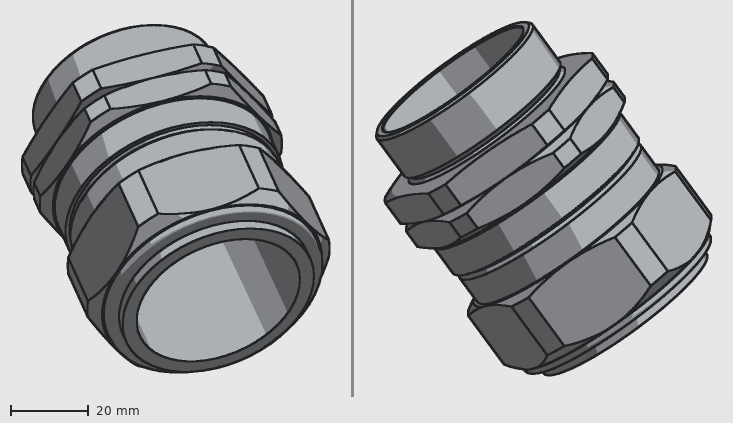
import cadquery as cq
import math

total_length = 76.4
bore_radius = 22.2
bore_chamfer = 0.2

across_flats = 60.0
across_corners = 65.9
flat_radius = across_flats / 2
corner_radius = across_corners / 2
corner_rise = corner_radius - flat_radius

thread_radius = 24.9
thread_end_chamfer = 0.8
thread_full_end = 13.0
undercut_radius = 23.6
undercut_x = 14.3

entry_nut_start = 15.05
entry_nut_end = 23.5
body_nut_end = 31.9
cap_nut_start = 50.95
cap_nut_end = 71.5
shallow_angle = 15.0
medium_angle = 30.0
steep_angle = 45.0

body_radius = 29.65
body_shoulder_x = 32.4
body_end = 41.1
groove_x = 41.9
groove_radius = 27.8
sleeve_radius = 28.95

collar_radius = 29.6
collar_end = 73.6
collar_fillet = 0.8
seal_radius = 26.05


def disc(start, end, radius):
    """Cylinder about the X axis."""
    return cq.Workplane("YZ").workplane(offset=start).circle(radius).extrude(end - start)


def revolve_profile(points):
    """Solid of revolution from (x, radius) points, closed down to the axis."""
    outline = [(points[0][0], 0)] + points + [(points[-1][0], 0)]
    return cq.Workplane("XY").polyline(outline).close().revolve(360, (0, 0, 0), (1, 0, 0))


def hex_nut(start, end, start_angle, end_angle):
    """Hexagon with corners on +/-Y, rounded to the corner radius and chamfered at both faces."""
    sharp_diameter = across_flats / math.cos(math.radians(30))
    prism = cq.Workplane("YZ").workplane(offset=start).polygon(6, sharp_diameter).extrude(end - start)
    start_depth = corner_rise * math.tan(math.radians(start_angle))
    end_depth = corner_rise * math.tan(math.radians(end_angle))
    envelope = revolve_profile([
        (start, flat_radius),
        (start + start_depth, corner_radius),
        (end - end_depth, corner_radius),
        (end, flat_radius),
    ])
    return prism.intersect(envelope)


thread = revolve_profile([
    (0, thread_radius - thread_end_chamfer),
    (thread_end_chamfer, thread_radius),
    (thread_full_end, thread_radius),
    (undercut_x, undercut_radius),
    (entry_nut_start, thread_radius),
])

entry_nut = hex_nut(entry_nut_start, entry_nut_end, shallow_angle, shallow_angle)
body_nut = hex_nut(entry_nut_end, body_nut_end, medium_angle, medium_angle)
cap_nut = hex_nut(cap_nut_start, cap_nut_end, medium_angle, steep_angle)

body = revolve_profile([
    (body_nut_end, flat_radius),
    (body_shoulder_x, flat_radius),
    (body_shoulder_x, body_radius),
    (body_end, body_radius),
    (body_end, groove_radius + groove_x - body_end),
    (groove_x, groove_radius),
    (groove_x + sleeve_radius - groove_radius, sleeve_radius),
    (cap_nut_start, sleeve_radius),
])

collar = disc(cap_nut_end, collar_end, collar_radius).faces(">X").edges().fillet(collar_fillet)
seal_ring = disc(collar_end, total_length, seal_radius)

bore = revolve_profile([
    (0, bore_radius + bore_chamfer),
    (bore_chamfer, bore_radius),
    (total_length, bore_radius),
])

result = thread
for section in (entry_nut, body_nut, body, cap_nut, collar, seal_ring):
    result = result.union(section)
result = result.cut(bore)